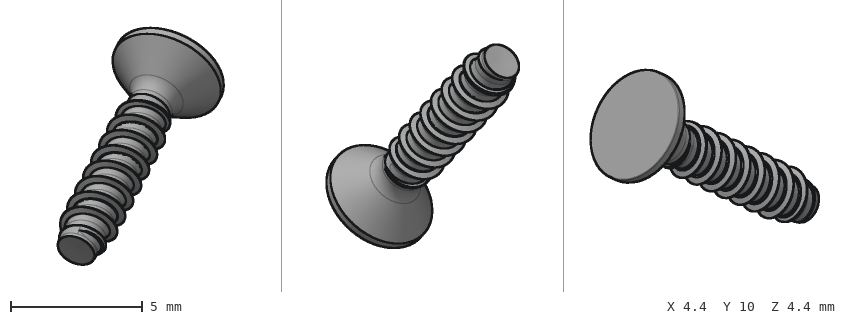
import cadquery as cq
import math


length = 10.0
head_radius = 2.2
rim_height = 0.35
rim_round = 0.03

shank_radius = 0.86
neck_round = 0.8
shank_end = 2.25

core_radius = 0.77
core_start = 2.6
core_bottom = 1.2
tip_radius = 0.75
tip_rim_width = 0.05
tip_dish_depth = 0.05

pitch = 0.85
turns = 10
crest_radius = 1.1
crest_half_width = 0.015
flank_radius = 0.84
flank_half_width = 0.1
head_side_root = 0.16
tip_side_root = 0.13
shoulder_radius = 0.82
shoulder_end = 0.64
shoulder_end_radius = 0.76
shoulder_sag = 0.02
ridge_depth = 0.1
thread_start = 1.7

envelope_radius = 1.2
run_in_radius = 0.93
run_in_end = 3.73
run_out_start = 8.47
run_out_end = 9.85


def make_head_and_neck():
    """Revolve the head, the neck and the relief that runs down to the core."""
    diagonal = math.sqrt(0.5)
    cone_end_radius = shank_radius + neck_round * (1 - diagonal)
    cone_end = rim_height + head_radius - cone_end_radius
    neck_end = cone_end + neck_round * diagonal
    neck_centre_radius = shank_radius + neck_round
    half_angle = math.radians(45) / 2
    neck_middle = (
        neck_centre_radius - neck_round * math.cos(half_angle),
        neck_end - neck_round * math.sin(half_angle),
    )
    relief_drop = shank_radius - core_radius
    relief_length = core_start - shank_end
    relief_round = (relief_length**2 + relief_drop**2) / (2 * relief_drop)
    return (
        cq.Workplane("YZ")
        .moveTo(0, 0)
        .lineTo(head_radius - rim_round, 0)
        .radiusArc((head_radius, rim_round), -rim_round)
        .lineTo(head_radius, rim_height)
        .lineTo(cone_end_radius, cone_end)
        .threePointArc(neck_middle, (shank_radius, neck_end))
        .lineTo(shank_radius, shank_end)
        .radiusArc((core_radius, core_start), relief_round)
        .lineTo(0, core_start)
        .close()
        .revolve(360, (0, 0, 0), (0, 1, 0))
    )


def make_core():
    """Extrude the plain core, overlong at both ends until the envelope trims it."""
    core_length = pitch * turns + thread_start
    return cq.Workplane("XY").workplane(offset=core_bottom).circle(core_radius).extrude(core_length)


def make_ridge():
    """Sweep the thread section, with its sloping tip-side shoulder, along a helix."""
    buried_radius = core_radius - ridge_depth
    shoulder_middle = (
        (shoulder_end_radius + shoulder_radius) / 2 - shoulder_sag,
        thread_start + (tip_side_root + shoulder_end) / 2,
    )
    section = (
        cq.Workplane("XZ")
        .moveTo(buried_radius, thread_start - head_side_root)
        .lineTo(shoulder_end_radius, thread_start - head_side_root)
        .lineTo(flank_radius, thread_start - flank_half_width)
        .lineTo(crest_radius, thread_start - crest_half_width)
        .lineTo(crest_radius, thread_start + crest_half_width)
        .lineTo(flank_radius, thread_start + flank_half_width)
        .lineTo(shoulder_radius, thread_start + tip_side_root)
        .threePointArc(shoulder_middle, (shoulder_end_radius, thread_start + shoulder_end))
        .lineTo(buried_radius, thread_start + shoulder_end)
        .close()
    )
    helix = cq.Wire.makeHelix(pitch, pitch * turns, core_radius, cq.Vector(0, 0, thread_start))
    return section.sweep(cq.Workplane(helix), isFrenet=True)


def make_thread_envelope():
    """Revolve the space the thread may fill, from the shank face to the dished tip."""
    return (
        cq.Workplane("YZ")
        .moveTo(0, shank_end)
        .lineTo(run_in_radius, shank_end)
        .lineTo(envelope_radius, run_in_end)
        .lineTo(envelope_radius, run_out_start)
        .lineTo(core_radius, run_out_end)
        .lineTo(tip_radius, length)
        .lineTo(tip_radius - tip_rim_width, length)
        .lineTo(0, length - tip_dish_depth)
        .close()
        .revolve(360, (0, 0, 0), (0, 1, 0))
    )


threaded_core = make_core().union(make_ridge()).intersect(make_thread_envelope())
screw = make_head_and_neck().union(threaded_core)
result = screw.rotate((0, 0, 0), (1, 0, 0), 90)